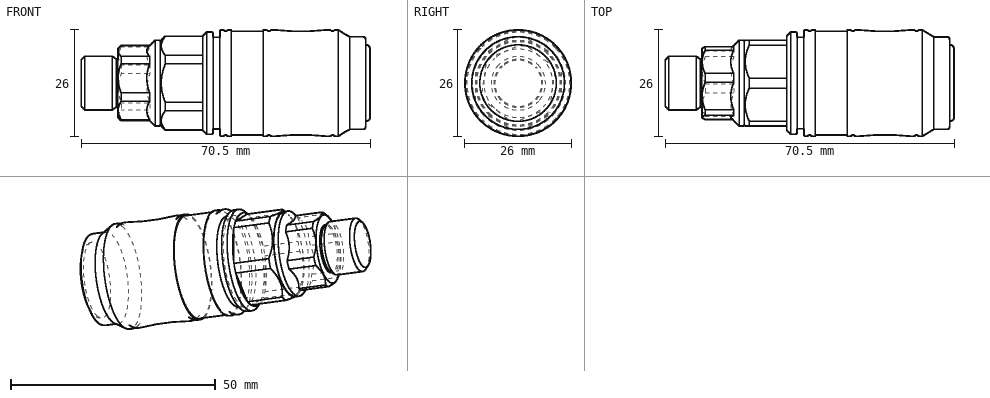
import cadquery as cq
import math

total_length = 70.5

thread_radius = 13.2 / 2
thread_chamfer = 0.9
thread_end = 7.55
undercut_radius = 5.9
undercut_start = 8.5

small_hex_start = 8.95
small_hex_flats = 16.9
small_hex_radius = 18.4 / 2
small_hex_face_radius = 8.4
small_hex_turn = 22.0

collar_start = 18.05
collar_radius = 21.0 / 2
collar_fillet = 0.35

large_hex_start = 19.3
large_hex_flats = 2 * collar_radius
large_hex_radius = 23.0 / 2
large_hex_face_radius = 10.3
large_hex_turn = 30.0

flange_start = 29.6
flange_end = 32.2
flange_radius = 25.0 / 2
flange_chamfer = flange_radius - large_hex_radius
flange_fillet = 0.5
neck_radius = 22.4 / 2

sleeve_radius = 26.0 / 2
band_radius = 25.4 / 2
waist_radius = 25.3 / 2
ring_centers = (35.25, 45.8, 61.3)
ring_half_width = 1.4
groove_half_width = 0.32
groove_lip_width = 0.46
groove_lip_drop = 0.175
groove_depth = 0.32
sleeve_front_fillet = 0.4

cap_start = 65.6
cap_end = 69.45
cap_radius = 22.6 / 2
cap_fillet = 0.6
tip_radius = 18.7 / 2
tip_fillet = 1.0

arc_mid = math.sqrt(0.5)
arc_rest = 1 - arc_mid


def convex_fall(profile, x, radius, size):
    """Draw a quarter fillet that starts at (x, radius) and falls towards the axis."""
    middle = (x + size * arc_mid, radius - size * arc_rest)
    return profile.threePointArc(middle, (x + size, radius - size))


def grooved_ring(profile, center):
    """Draw a grip ring up to its far edge: land, rounded lip, round groove, lip, land."""
    lip_start = groove_half_width + groove_lip_width
    lip_middle = groove_half_width + groove_lip_width / 2
    lip_middle_radius = sleeve_radius - groove_lip_drop / 4
    groove_edge_radius = sleeve_radius - groove_lip_drop
    return (
        profile.lineTo(center - lip_start, sleeve_radius)
        .threePointArc(
            (center - lip_middle, lip_middle_radius),
            (center - groove_half_width, groove_edge_radius),
        )
        .threePointArc(
            (center, sleeve_radius - groove_depth),
            (center + groove_half_width, groove_edge_radius),
        )
        .threePointArc(
            (center + lip_middle, lip_middle_radius),
            (center + lip_start, sleeve_radius),
        )
        .lineTo(center + ring_half_width, sleeve_radius)
    )


def close_and_revolve(profile, end):
    """Close the half outline along the axis and turn it around X."""
    return profile.lineTo(end, 0).close().revolve(360, (0, 0, 0), (1, 0, 0))


def make_spigot():
    profile = (
        cq.Workplane("XY")
        .lineTo(0, thread_radius - thread_chamfer)
        .lineTo(thread_chamfer, thread_radius)
        .lineTo(thread_end, thread_radius)
        .lineTo(undercut_start, undercut_radius)
        .lineTo(small_hex_start, undercut_radius)
    )
    return close_and_revolve(profile, small_hex_start)


def make_hexagon(start, end, flats, corner_radius, face_radius, turn):
    """Hexagonal bar with rounded corners and a 45 degree turned chamfer at its start."""
    bar = (
        cq.Workplane("YZ", origin=(start, 0, 0))
        .transformed(rotate=(0, 0, turn))
        .polygon(6, flats / math.cos(math.radians(30)))
        .extrude(end - start)
    )
    chamfer = corner_radius - face_radius
    blank_profile = (
        cq.Workplane("XY")
        .moveTo(start, 0)
        .lineTo(start, face_radius)
        .lineTo(start + chamfer, corner_radius)
        .lineTo(end, corner_radius)
    )
    return bar.intersect(close_and_revolve(blank_profile, end))


def make_collar():
    """Collar whose 45 degree front cone runs down inside the small hexagon."""
    cone_height = collar_radius - undercut_radius
    profile = (
        cq.Workplane("XY")
        .moveTo(collar_start - cone_height, 0)
        .lineTo(collar_start - cone_height, undercut_radius)
        .lineTo(collar_start, collar_radius)
        .lineTo(large_hex_start - collar_fillet, collar_radius)
    )
    profile = convex_fall(profile, large_hex_start - collar_fillet, collar_radius, collar_fillet)
    return close_and_revolve(profile, large_hex_start)


def make_flange_and_sleeve():
    front_ring, middle_ring, rear_ring = ring_centers
    sleeve_start = front_ring - ring_half_width
    waist_center = (middle_ring + rear_ring) / 2

    profile = (
        cq.Workplane("XY")
        .moveTo(flange_start, 0)
        .lineTo(flange_start, large_hex_radius)
        .lineTo(flange_start + flange_chamfer, flange_radius)
        .lineTo(flange_end - flange_fillet, flange_radius)
    )
    profile = convex_fall(profile, flange_end - flange_fillet, flange_radius, flange_fillet)
    profile = profile.lineTo(flange_end, neck_radius).lineTo(sleeve_start, neck_radius)

    profile = profile.lineTo(sleeve_start, sleeve_radius - sleeve_front_fillet).threePointArc(
        (sleeve_start + sleeve_front_fillet * arc_rest, sleeve_radius - sleeve_front_fillet * arc_rest),
        (sleeve_start + sleeve_front_fillet, sleeve_radius),
    )
    profile = (
        grooved_ring(profile, front_ring)
        .lineTo(front_ring + ring_half_width, band_radius)
        .lineTo(middle_ring - ring_half_width, band_radius)
        .lineTo(middle_ring - ring_half_width, sleeve_radius)
    )

    profile = grooved_ring(profile, middle_ring).threePointArc(
        (waist_center, waist_radius),
        (rear_ring - ring_half_width, sleeve_radius),
    )
    profile = grooved_ring(profile, rear_ring)

    profile = profile.lineTo(cap_start, cap_radius).lineTo(cap_end - cap_fillet, cap_radius)
    profile = (
        convex_fall(profile, cap_end - cap_fillet, cap_radius, cap_fillet)
        .lineTo(cap_end, tip_radius)
        .lineTo(total_length - tip_fillet, tip_radius)
    )
    profile = convex_fall(profile, total_length - tip_fillet, tip_radius, tip_fillet)
    return close_and_revolve(profile, total_length)


small_hexagon = make_hexagon(
    small_hex_start,
    collar_start,
    small_hex_flats,
    small_hex_radius,
    small_hex_face_radius,
    small_hex_turn,
)
large_hexagon = make_hexagon(
    large_hex_start,
    flange_start,
    large_hex_flats,
    large_hex_radius,
    large_hex_face_radius,
    large_hex_turn,
)

result = (
    make_spigot()
    .union(small_hexagon)
    .union(make_collar())
    .union(large_hexagon)
    .union(make_flange_and_sleeve())
)